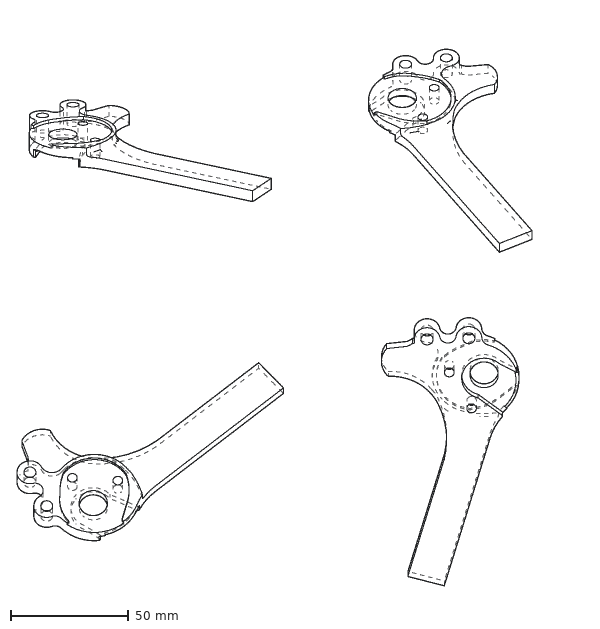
import cadquery as cq
import math

total_height = 9.0
arm_thickness = 5.1
pocket_depth = 1.5
recess_height = 3.6
root_fillet = 1.1

overlap = 1.2
run_on_length = 36.2
selection_margin = 0.1

part_length = 120.5
arm_top = 6.0
arm_bottom = -10.1
lower_blend_radius = 27.7

body_center = (3.7, 3.6)
wall_radius = 19.4
rim_radius = 17.6
pocket_radius = 15.8

ear_radius = 5.5
ear_hole_radius = 2.5
upper_ear = (-11.1, 28.3)
lower_ear = (-16.4, 11.3)
ear_gap_radius = 3.5
ear_wall_radius = 3.6
ear_rim_radius = 5.1

bore_radius = 6.0
bolt_circle_radius = 15.1
bolt_hole_radius = 2.0
bolt_angles = (5, 85)

hollow_start = (41.2, arm_top)
hollow_lower_mid = (27.5, 9.2)
hollow_middle = (17.1, 15.4)
hollow_upper_mid = (10.7, 24.0)

tab_tip = (10.1, 39.5)
tab_crest = (3.7, 44.4)
tab_corner = (-2.3, 43.8)
tab_side_end = (-5.7, 35.7)
tab_root_mid = (-6.5, 34.7)
tab_root = (-7.6, 33.7)

pocket_upper_start = (-0.6, 18.8)
pocket_upper_mid = (-5.1, 15.5)
pocket_left_bend = (-8.9, 11.5)
pocket_left_mid = (-13.0, 5.3)
pocket_left_end = (-14.1, -0.5)
pocket_lower_start = (19.3, 0.7)
pocket_lower_mid = (16.8, -3.9)
pocket_lower_bend = (12.2, -8.7)
pocket_lower_end = (3.5, -14.6)
pocket_outside = -18.1

recess_radius = 9.5
recess_mouth = ((-6.5, -12.3), (14.7, -12.3))
lip_chamfer_width = 1.3
lip_chamfer_height = 0.7
lip_half_angle = 27


def toward(start, target, distance):
    """Point at the given distance from start in the direction of target."""
    length = math.dist(start, target)
    return tuple(s + (t - s) * distance / length for s, t in zip(start, target))


def touching_center(first, first_radius, second, second_radius, radius):
    """Center of a circle outside and tangent to two circles, left of first -> second."""
    gap = math.dist(first, second)
    a = first_radius + radius
    b = second_radius + radius
    along = (a * a - b * b + gap * gap) / (2 * gap)
    across = math.sqrt(a * a - along * along)
    ux = (second[0] - first[0]) / gap
    uy = (second[1] - first[1]) / gap
    return (first[0] + along * ux - across * uy, first[1] + along * uy + across * ux)


def arc_through(sketch, center, radius, guide, end):
    """Arc about center, passing on the side of guide, to end."""
    return sketch.threePointArc(toward(center, guide, radius), end)


def midpoint(first, second):
    return ((first[0] + second[0]) / 2, (first[1] + second[1]) / 2)


def shifted(point, dx, dy):
    return (point[0] + dx, point[1] + dy)


def cylinder(center, radius, height):
    return cq.Workplane("XY").center(*center).circle(radius).extrude(height)


lower_blend_y = arm_bottom - lower_blend_radius
lower_blend_x = body_center[0] + math.sqrt(
    (wall_radius + lower_blend_radius) ** 2 - (body_center[1] - lower_blend_y) ** 2
)
lower_blend = (lower_blend_x, lower_blend_y)
wall_end = toward(body_center, lower_blend, wall_radius)
arm_start = (lower_blend_x, arm_bottom)

body_corner_x = 18.0
body_corner = (
    body_corner_x,
    lower_blend_y + math.sqrt(lower_blend_radius**2 - (body_corner_x - lower_blend_x) ** 2),
)
rim_end = (body_center[0] + rim_radius, body_center[1])
body_side_top = (rim_end[0], 0.0)
body_side_mid = (20.0, -6.0)

high = touching_center(upper_ear, ear_radius, body_center, rim_radius, ear_rim_radius)
high_guide = shifted(high, -1.2, -1.2)

upper_right = shifted(body_center, 1.2, 1.2)


def body_outline():
    """Ears, wall and rim, counterclockwise from the inner side of the upper ear."""
    gap = touching_center(lower_ear, ear_radius, upper_ear, ear_radius, ear_gap_radius)
    low = touching_center(body_center, wall_radius, lower_ear, ear_radius, ear_wall_radius)
    outer_side = shifted(upper_ear, -1.2, 1.2)
    left_side = shifted(lower_ear, -1.2, 0)
    lower_left = shifted(body_center, -1.2, -1.2)

    s = cq.Workplane("XY").moveTo(*toward(upper_ear, high, ear_radius))
    s = arc_through(s, upper_ear, ear_radius, outer_side, toward(upper_ear, gap, ear_radius))
    gap_guide = shifted(gap, 1.2, 0)
    s = arc_through(s, gap, ear_gap_radius, gap_guide, toward(lower_ear, gap, ear_radius))
    s = arc_through(s, lower_ear, ear_radius, left_side, toward(lower_ear, low, ear_radius))
    low_guide = shifted(low, 1.2, 1.2)
    s = arc_through(s, low, ear_wall_radius, low_guide, toward(body_center, low, wall_radius))
    s = arc_through(s, body_center, wall_radius, lower_left, wall_end)
    blend_guide = midpoint(wall_end, body_corner)
    s = arc_through(s, lower_blend, lower_blend_radius, blend_guide, body_corner)
    s = s.threePointArc(body_side_mid, body_side_top).lineTo(*rim_end)
    rim_start = toward(body_center, high, rim_radius)
    s = arc_through(s, body_center, rim_radius, upper_right, rim_start)
    s = arc_through(s, high, ear_rim_radius, high_guide, toward(upper_ear, high, ear_radius))
    return s.close()


def plate_outline():
    """Arm and tab; the left boundary lies inside the raised body."""
    arm_end = lower_ear[0] - ear_radius + part_length
    s = cq.Workplane("XY").moveTo(*arm_start).lineTo(arm_end, arm_bottom)
    s = s.lineTo(arm_end, arm_top).lineTo(*hollow_start)
    s = s.threePointArc(hollow_lower_mid, hollow_middle).threePointArc(hollow_upper_mid, tab_tip)
    s = s.threePointArc(tab_crest, tab_corner).lineTo(*tab_side_end)
    s = s.threePointArc(tab_root_mid, tab_root).lineTo(*upper_ear).lineTo(*wall_end)
    blend_guide = midpoint(wall_end, arm_start)
    return arc_through(s, lower_blend, lower_blend_radius, blend_guide, arm_start).close()


def foot_block():
    """The arm side of the raised body, run on past the plate at both ends."""
    ear_end = toward(upper_ear, tab_root, ear_radius)
    ear_side = shifted(upper_ear, 1.2, 0.2)
    run_on = run_on_length / ear_radius
    corner = (
        ear_end[0] - run_on * (ear_end[1] - upper_ear[1]),
        ear_end[1] + run_on * (ear_end[0] - upper_ear[0]),
    )
    below = shifted(body_corner, -4.8, -12)

    s = cq.Workplane("XY").moveTo(*ear_end)
    s = arc_through(s, upper_ear, ear_radius, ear_side, toward(upper_ear, high, ear_radius))
    s = arc_through(s, high, ear_rim_radius, high_guide, toward(body_center, high, rim_radius))
    s = arc_through(s, body_center, rim_radius, upper_right, rim_end)
    s = s.lineTo(*body_side_top).threePointArc(body_side_mid, body_corner)
    return s.lineTo(*below).lineTo(corner[0], below[1]).lineTo(*corner).close().extrude(total_height)


def filleted_blank():
    """Raised body on the plate, with a fillet along the foot of the body."""
    slab = cq.Workplane("XY").rect(2 * part_length, 2 * part_length).extrude(arm_thickness)
    foot = cq.selectors.BoxSelector(
        (-part_length / 2, -part_length / 2, arm_thickness - selection_margin),
        (part_length / 2, part_length / 2, arm_thickness + selection_margin),
    )
    filleted = slab.union(foot_block()).edges(foot).fillet(root_fillet)
    plate = plate_outline().extrude(total_height)
    return filleted.intersect(plate.union(body_outline().extrude(total_height)))


def top_pocket():
    """Shallow pocket that runs out through the lower left wall."""
    s = cq.Workplane("XY", origin=(0, 0, total_height - pocket_depth)).moveTo(*pocket_upper_start)
    s = arc_through(s, body_center, pocket_radius, upper_right, pocket_lower_start)
    s = s.threePointArc(pocket_lower_mid, pocket_lower_bend).lineTo(*pocket_lower_end)
    s = s.lineTo(pocket_lower_end[0], pocket_outside).lineTo(pocket_outside, pocket_outside)
    s = s.lineTo(pocket_outside, pocket_left_end[1]).lineTo(*pocket_left_end)
    s = s.threePointArc(pocket_left_mid, pocket_left_bend)
    s = s.threePointArc(pocket_upper_mid, pocket_upper_start).close()
    return s.extrude(pocket_depth + overlap)


def underside_recess():
    """Round recess about the bore, widening to a mouth in the lower wall."""
    mouth_left, mouth_right = recess_mouth
    outside = body_center[1] - wall_radius - overlap
    throat = (
        cq.Workplane("XY")
        .polyline([
            (-recess_radius, 0), mouth_left, (mouth_left[0] - overlap, mouth_left[1]),
            (mouth_left[0] - overlap, outside), (mouth_right[0] + overlap, outside),
            (mouth_right[0] + overlap, mouth_right[1]), mouth_right, (recess_radius, 0),
        ])
        .close()
        .extrude(recess_height)
    )
    return throat.union(cylinder((0, 0), recess_radius, recess_height))


def lip_chamfer():
    """Conical chamfer under the lip that overhangs the recess mouth."""
    corner = (wall_radius, recess_height)
    section = cq.Workplane("XZ").polyline([
        (corner[0] - lip_chamfer_width, corner[1]),
        (corner[0], corner[1] + lip_chamfer_height),
        (corner[0] + overlap, corner[1] + lip_chamfer_height),
        (corner[0] + overlap, corner[1]),
    ]).close()
    ring = section.revolve(2 * lip_half_angle, (0, 0, 0), (0, 1, 0))
    mid = ring.val().Center()
    turn = -90 - math.degrees(math.atan2(mid.y, mid.x))
    return ring.rotate((0, 0, 0), (0, 0, 1), turn).translate((*body_center, 0))


result = filleted_blank().cut(top_pocket()).cut(underside_recess()).cut(lip_chamfer())
for ear in (upper_ear, lower_ear):
    result = result.cut(cylinder(ear, ear_hole_radius, total_height))
result = result.cut(cylinder((0, 0), bore_radius, total_height))
for angle in bolt_angles:
    turn = math.radians(angle)
    bolt = (bolt_circle_radius * math.cos(turn), bolt_circle_radius * math.sin(turn))
    result = result.cut(cylinder(bolt, bolt_hole_radius, total_height))